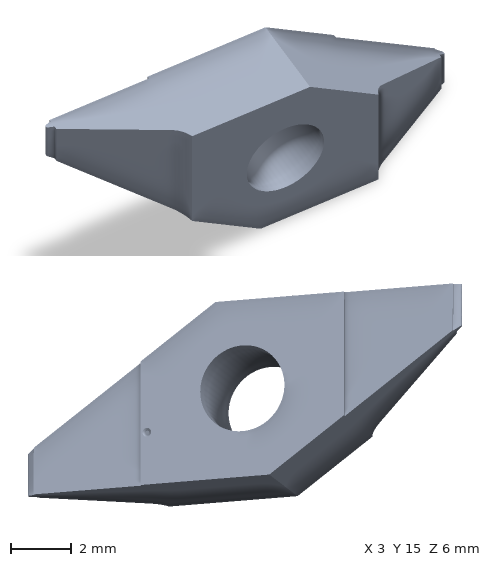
import cadquery as cq
import math

width = 3.0
length = 15.0
height = 6.0

body_half_length = 3.51
flat_reach = 0.93
slope_angle = 35.0

hole_diameter = 2.91

side_step = 0.09
clearance_setback = 0.03
flank_angle = 30.0
shoulder_y = 7.25
shoulder_x = -0.96
root_blend_x = 0.93

nose_x = -1.22
nose_half_width = 0.14
nose_radius = 0.08
nose_arc_half_angle = 60.0

dimple_y = 3.3
dimple_z = -1.23
dimple_radius = 0.15
dimple_floor_radius = 0.08
dimple_depth = 0.08

half_width = width / 2
half_length = length / 2
half_height = height / 2


def wing_outline(plane_z, setback):
    """Closed plan outline of the -Y wing, with its outer walls set back."""
    side_x = -half_width + side_step + setback
    end_wall_y = shoulder_y - setback
    blend_y = shoulder_y - (root_blend_x - shoulder_x) / math.tan(math.radians(flank_angle))
    tip_y = half_length - setback
    arc_x = nose_radius * math.sin(math.radians(nose_arc_half_angle))
    arc_y = tip_y - nose_radius * (1 - math.cos(math.radians(nose_arc_half_angle)))
    return (
        cq.Workplane("XY", origin=(0, 0, plane_z))
        .moveTo(side_x, -body_half_length)
        .lineTo(side_x, -end_wall_y)
        .lineTo(nose_x - nose_half_width, -end_wall_y)
        .lineTo(nose_x - arc_x, -arc_y)
        .threePointArc((nose_x, -tip_y), (nose_x + arc_x, -arc_y))
        .lineTo(nose_x + nose_half_width, -end_wall_y)
        .lineTo(shoulder_x, -shoulder_y)
        .lineTo(root_blend_x, -blend_y)
        .tangentArcPoint((half_width, -body_half_length), relative=False)
        .close()
        .wire()
        .val()
    )


def make_wing():
    """Wing with its cutting edge on the top face, at full height."""
    top = wing_outline(half_height, 0)
    bottom = wing_outline(-half_height, clearance_setback)
    return cq.Workplane(cq.Solid.makeLoft([top, bottom], True))


def make_side_profile():
    """Six-sided side outline, extruded across the width."""
    slope_drop = (half_length - flat_reach) * math.tan(math.radians(slope_angle))
    end_z = half_height - slope_drop
    outline = [
        (-half_length, half_height),
        (flat_reach, half_height),
        (half_length, end_z),
        (half_length, -half_height),
        (-flat_reach, -half_height),
        (-half_length, -end_z),
    ]
    return cq.Workplane("YZ").polyline(outline).close().extrude(half_width, both=True)


def make_dimple():
    """Shallow flat-bottomed cone sunk into the -X face."""
    return cq.Workplane(
        cq.Solid.makeCone(
            dimple_radius,
            dimple_floor_radius,
            dimple_depth,
            pnt=cq.Vector(-half_width, dimple_y, dimple_z),
            dir=cq.Vector(1, 0, 0),
        )
    )


body = cq.Workplane("XY").box(width, 2 * body_half_length, height)
wing = make_wing()

opposite_wing = wing.rotate((0, 0, 0), (1, 0, 0), 180)

hole = cq.Workplane("YZ", origin=(-half_width, 0, 0)).circle(hole_diameter / 2).extrude(width)

result = (
    body.union(wing)
    .union(opposite_wing)
    .intersect(make_side_profile())
    .cut(hole)
    .cut(make_dimple())
)